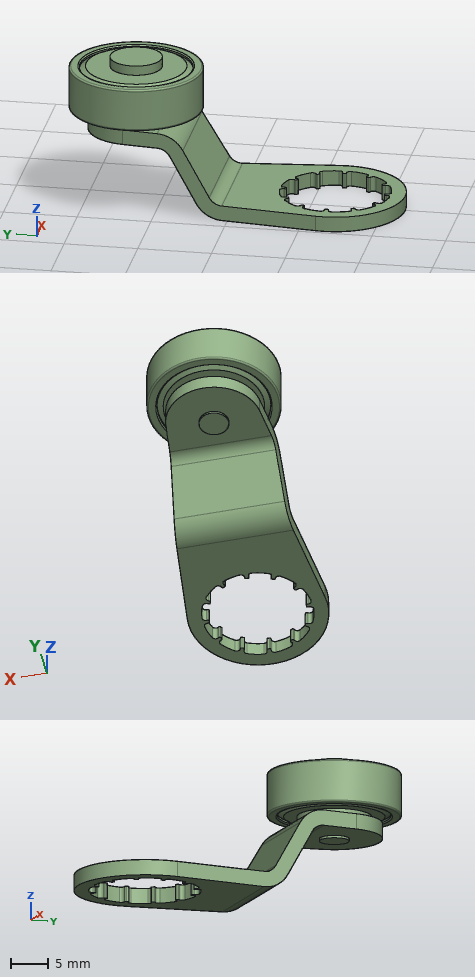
import cadquery as cq
import math

total_length = 45.5
ring_diameter = 18.95
ring_radius = ring_diameter / 2
roller_diameter = 17.95
roller_radius = roller_diameter / 2
pivot_y = total_length - ring_radius - roller_radius

arm_thickness = 2.1
arm_rise = 9.35
arm_end_radius = 6.45
bend_angle = 60.0
bend_inner_radius = 2.0
bend_start_y = 14.0
arm_upper_z = arm_rise + arm_thickness

hole_radius = 7.5
tooth_count = 12
tooth_tip_radius = 6.65
tooth_width = 0.55
tooth_tip_fillet = 0.15
tooth_root_fillet = 0.5

tail_radius = 2.0
tail_projection = 0.3
collar_radius = 5.0
shaft_radius = 3.5
pin_top_z = 19.55

roller_bottom_z = 12.35
roller_width = 5.85
roller_edge_fillet = 0.25
groove_outer_radius = 7.6
groove_inner_radius = 6.78
groove_depth = 0.45
groove_edge_chamfer = 0.2


def make_crank():
    """Side profile of the cranked strip, extruded across the full width."""
    angle = math.radians(bend_angle)
    bend_outer_radius = bend_inner_radius + arm_thickness
    both_bends = bend_inner_radius + bend_outer_radius
    bends_height = both_bends * (1 - math.cos(angle))
    slope_height = arm_rise - bends_height
    bend_end_y = bend_start_y + both_bends * math.sin(angle) + slope_height / math.tan(angle)

    lower_centre_z = arm_thickness + bend_inner_radius
    upper_centre_z = arm_rise - bend_inner_radius

    def lower_bend(radius, turn):
        return (bend_start_y + radius * math.sin(turn), lower_centre_z - radius * math.cos(turn))

    def upper_bend(radius, turn):
        return (bend_end_y - radius * math.sin(turn), upper_centre_z + radius * math.cos(turn))

    front_y = -ring_radius
    back_y = pivot_y + arm_end_radius
    profile = (
        cq.Workplane("YZ")
        .moveTo(front_y, 0)
        .lineTo(bend_start_y, 0)
        .threePointArc(lower_bend(bend_outer_radius, angle / 2), lower_bend(bend_outer_radius, angle))
        .lineTo(*upper_bend(bend_inner_radius, angle))
        .threePointArc(upper_bend(bend_inner_radius, angle / 2), upper_bend(bend_inner_radius, 0))
        .lineTo(back_y, arm_rise)
        .lineTo(back_y, arm_upper_z)
        .lineTo(bend_end_y, arm_upper_z)
        .threePointArc(upper_bend(bend_outer_radius, angle / 2), upper_bend(bend_outer_radius, angle))
        .lineTo(*lower_bend(bend_inner_radius, angle))
        .threePointArc(lower_bend(bend_inner_radius, angle / 2), lower_bend(bend_inner_radius, 0))
        .lineTo(front_y, arm_thickness)
        .close()
    )
    return profile.extrude(ring_radius, both=True)


def make_arm_outline():
    """Tapered plan shape: two round ends joined by tangent straight sides."""
    taper = math.asin((ring_radius - arm_end_radius) / pivot_y)
    ring_x = ring_radius * math.cos(taper)
    ring_y = ring_radius * math.sin(taper)
    end_x = arm_end_radius * math.cos(taper)
    end_y = pivot_y + arm_end_radius * math.sin(taper)
    return (
        cq.Workplane("XY")
        .moveTo(ring_x, ring_y)
        .lineTo(end_x, end_y)
        .threePointArc((0, pivot_y + arm_end_radius), (-end_x, end_y))
        .lineTo(-ring_x, ring_y)
        .threePointArc((0, -ring_radius), (ring_x, ring_y))
        .close()
        .extrude(arm_upper_z)
    )


def make_toothed_opening():
    """Cutter for the ring hole, leaving small rounded teeth that point inwards."""
    opening = cq.Workplane("XY").circle(hole_radius).extrude(arm_thickness)
    tooth_length = ring_radius - tooth_tip_radius
    tooth = (
        cq.Workplane("XY")
        .center(tooth_tip_radius + tooth_length / 2, 0)
        .rect(tooth_length, tooth_width)
        .extrude(arm_thickness)
        .edges("|Z and <X")
        .fillet(tooth_tip_fillet)
    )
    for index in range(tooth_count):
        opening = opening.cut(tooth.rotate((0, 0, 0), (0, 0, 1), index * 360 / tooth_count))

    tooth_middle_radius = (hole_radius + tooth_tip_radius) / 2
    root_edges = []
    for edge in opening.edges("|Z").vals():
        centre = edge.Center()
        if math.hypot(centre.x, centre.y) > tooth_middle_radius:
            root_edges.append(edge)
    return opening.newObject(root_edges).fillet(tooth_root_fillet)


def make_arm():
    """Cranked strip with a toothed ring at the low end and a pin hole at the high end."""
    pin_hole = cq.Workplane("XY").center(0, pivot_y).circle(tail_radius).extrude(arm_upper_z)
    strip = make_crank().intersect(make_arm_outline())
    return strip.cut(make_toothed_opening()).cut(pin_hole)


def make_pin():
    """Stepped pin: tail through the arm, collar on the arm, shaft through the roller."""
    tail_bottom_z = arm_rise - tail_projection
    return (
        cq.Workplane("XY", origin=(0, pivot_y, tail_bottom_z))
        .circle(tail_radius)
        .extrude(arm_upper_z - tail_bottom_z)
        .faces(">Z").workplane()
        .circle(collar_radius)
        .extrude(roller_bottom_z - arm_upper_z)
        .faces(">Z").workplane()
        .circle(shaft_radius)
        .extrude(pin_top_z - roller_bottom_z)
    )


def make_face_groove():
    """Ring cutter for the roller's upper face: straight outer wall, sloping inner wall."""
    return (
        cq.Workplane("XZ")
        .moveTo(groove_inner_radius, roller_width)
        .lineTo(groove_outer_radius, roller_width - groove_depth)
        .lineTo(groove_outer_radius, roller_width - groove_edge_chamfer)
        .lineTo(groove_outer_radius + groove_edge_chamfer, roller_width)
        .close()
        .revolve(360, (0, 0), (0, 1))
    )


def make_roller():
    """Bored roller with rounded rims and the same groove in both faces."""
    upper_groove = make_face_groove()
    mid_height = roller_width / 2
    lower_groove = upper_groove.mirror("XY", (0, 0, mid_height))
    bore = cq.Workplane("XY").circle(shaft_radius).extrude(roller_width)
    return (
        cq.Workplane("XY")
        .circle(roller_radius)
        .extrude(roller_width)
        .edges("%CIRCLE")
        .fillet(roller_edge_fillet)
        .cut(bore)
        .cut(upper_groove)
        .cut(lower_groove)
        .translate((0, pivot_y, roller_bottom_z))
    )


arm = make_arm()
pin = make_pin()
roller = make_roller()
result = cq.Compound.makeCompound([arm.val(), pin.val(), roller.val()])